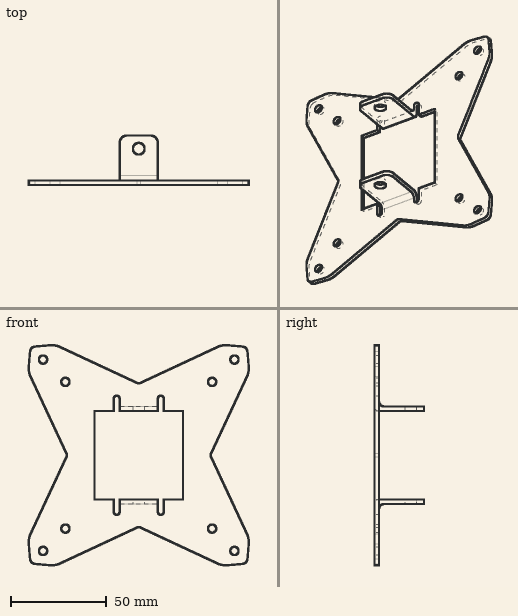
import cadquery as cq
import math

sheet = 2.5
total_depth = 26.0

tip_reach = 56.54
waist_reach = 37.36
tip_draft = 5.0
arm_angle = 25.0
tip_radius = 3.0
shoulder_radius = 10.0
waist_radius = 2.0

screw_diameter = 4.2
outer_screw_pitch = 99.8
inner_screw_pitch = 76.5

window_size = 46.0
slot_width = 3.0
slot_end = 31.0

tab_width = 20.0
tab_corner_radius = 4.0
tab_hole_diameter = 6.0
tab_hole_to_edge = 7.0
bend_outer_radius = sheet
bend_inner_radius = 2.5

window_half = window_size / 2
tab_outer_z = window_half + sheet


def shoulder_vertex():
    """Sharp meeting point (reach, offset) of a tip edge and a long arm edge."""
    tip_slope = math.tan(math.radians(tip_draft))
    arm_slope = math.tan(math.radians(arm_angle))
    offset = (tip_reach * (1 + tip_slope) - waist_reach) / (arm_slope + tip_slope)
    return waist_reach + offset * arm_slope, offset


def quarter_turn(point, turns):
    """Turn an (x, z) point about the centre in steps of 90 degrees."""
    x, z = point
    for _ in range(turns):
        x, z = -z, x
    return x, z


def extrude_back(profile, depth):
    """Extrude an XZ profile from the front face toward +Y."""
    return profile.extrude(-depth)


def make_plate():
    reach, offset = shoulder_vertex()
    quarter = [
        ((waist_reach, 0), waist_radius),
        ((reach, offset), shoulder_radius),
        ((tip_reach, tip_reach), tip_radius),
        ((offset, reach), shoulder_radius),
    ]
    corners = [(quarter_turn(point, turns), radius) for turns in range(4) for point, radius in quarter]
    outline = cq.Workplane("XZ").polyline([point for point, _ in corners]).close()
    plate = extrude_back(outline, sheet)
    for (x, z), radius in corners:
        corner_edge = cq.selectors.NearestToPointSelector((x, sheet / 2, z))
        plate = plate.edges(corner_edge).fillet(radius)
    return plate


def make_screw_holes():
    holes = cq.Workplane("XZ")
    for pitch in (outer_screw_pitch, inner_screw_pitch):
        holes = holes.rarray(pitch, pitch, 2, 2).circle(screw_diameter / 2)
    return extrude_back(holes, sheet)


def make_window():
    window = extrude_back(cq.Workplane("XZ").rect(window_size, window_size), sheet)
    slot_x = (tab_width + slot_width) / 2
    slot_length = 2 * slot_end
    slots = cq.Workplane("XZ").pushPoints([(-slot_x, 0), (slot_x, 0)])
    return window.union(extrude_back(slots.slot2D(slot_length, slot_width, 90), sheet))


def make_bend_trim():
    """Corner piece removed to round the front of the upper bend."""
    bend_top_z = window_half + bend_outer_radius
    return (
        cq.Workplane("YZ", origin=(-tab_width / 2, 0, 0))
        .moveTo(0, window_half)
        .lineTo(bend_outer_radius, window_half)
        .radiusArc((0, bend_top_z), bend_outer_radius)
        .close()
        .extrude(tab_width)
    )


def make_tab():
    """Upper tab with its inner bend fillet, starting at the back of the plate."""
    inner_bend_z = tab_outer_z + bend_inner_radius
    inner_bend_y = sheet + bend_inner_radius
    tab = (
        cq.Workplane("YZ", origin=(-tab_width / 2, 0, 0))
        .moveTo(sheet, window_half)
        .lineTo(total_depth, window_half)
        .lineTo(total_depth, tab_outer_z)
        .lineTo(inner_bend_y, tab_outer_z)
        .radiusArc((sheet, inner_bend_z), bend_inner_radius)
        .close()
        .extrude(tab_width)
    )
    tab = tab.edges("|Z and >Y").fillet(tab_corner_radius)
    hole = (
        cq.Workplane("XY", origin=(0, total_depth - tab_hole_to_edge, window_half))
        .circle(tab_hole_diameter / 2)
        .extrude(sheet)
    )
    return tab.cut(hole)


bracket = make_plate().cut(make_screw_holes()).cut(make_window())
upper_tab = make_tab()
upper_trim = make_bend_trim()
for tab_turn in (0, 180):
    tab = upper_tab.rotate((0, 0, 0), (0, 1, 0), tab_turn)
    trim = upper_trim.rotate((0, 0, 0), (0, 1, 0), tab_turn)
    bracket = bracket.union(tab).cut(trim)

result = bracket